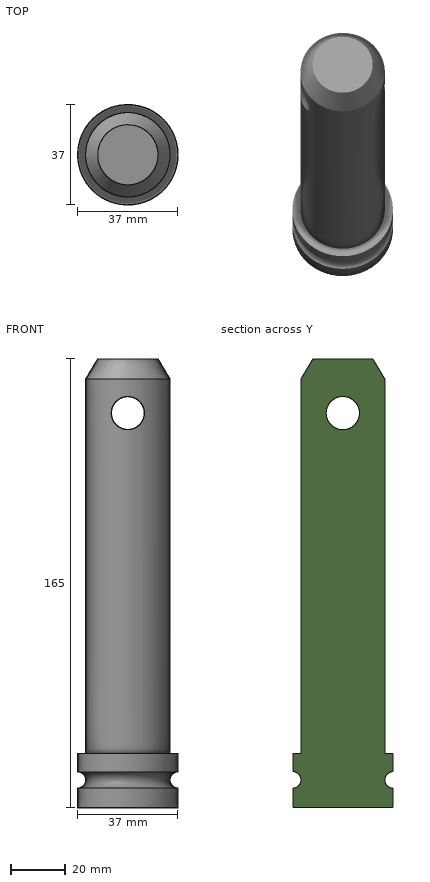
import cadquery as cq

total_length = 165.0
shaft_diameter = 31.0

head_diameter = 37.0
head_height = 20.0
groove_radius = (head_diameter - shaft_diameter) / 2
groove_center_z = 10.2

tip_diameter = 22.1
tip_height = 7.5

cross_hole_diameter = 12.0
cross_hole_from_top = 20.0


def make_pin_body():
    """Revolve the half profile of head, groove, shaft and tapered tip about Z."""
    head_radius = head_diameter / 2
    shaft_radius = shaft_diameter / 2
    return (
        cq.Workplane("XZ")
        .lineTo(head_radius, 0)
        .lineTo(head_radius, groove_center_z - groove_radius)
        .threePointArc(
            (head_radius - groove_radius, groove_center_z),
            (head_radius, groove_center_z + groove_radius),
        )
        .lineTo(head_radius, head_height)
        .lineTo(shaft_radius, head_height)
        .lineTo(shaft_radius, total_length - tip_height)
        .lineTo(tip_diameter / 2, total_length)
        .lineTo(0, total_length)
        .close()
        .revolve(360, (0, 0, 0), (0, 1, 0))
    )


def make_cross_hole():
    """Cylinder along Y that passes right through the shaft."""
    return (
        cq.Workplane("XZ")
        .center(0, total_length - cross_hole_from_top)
        .circle(cross_hole_diameter / 2)
        .extrude(shaft_diameter, both=True)
    )


result = make_pin_body().cut(make_cross_hole())